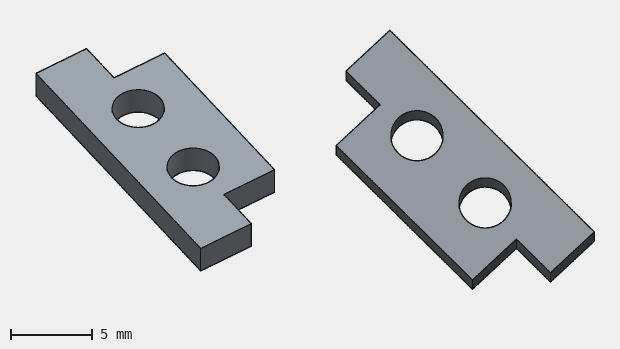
import cadquery as cq

length = 18.0
depth = 7.5
thickness = 2.0

ear_length = length / 6
ear_depth = depth / 2
rear_length = length - 2 * ear_length

hole_diameter = 3.2
hole_spacing = length / 3
hole_from_front = 3.51


def make_plate():
    """Stepped plate with its front edge on Y = 0, centred on X = 0."""
    front_bar = cq.Workplane("XY").box(length, ear_depth, thickness, centered=(True, False, False))
    rear_block = cq.Workplane("XY").box(rear_length, depth, thickness, centered=(True, False, False))
    return front_bar.union(rear_block).clean()


def make_holes():
    """Cylinders that cut the two through holes."""
    centers = [(side * hole_spacing / 2, hole_from_front) for side in (-1, 1)]
    return cq.Workplane("XY").pushPoints(centers).circle(hole_diameter / 2).extrude(thickness)


result = make_plate().cut(make_holes())